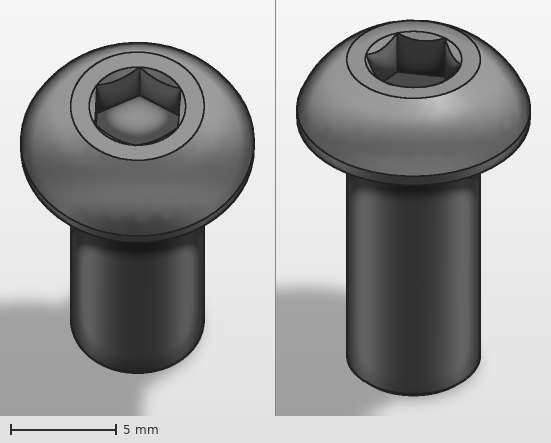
import cadquery as cq
import math

total_length = 17.64
head_diameter = 11.1
head_height = 3.39
rim_height = 0.53
crown_flat_diameter = 6.35
crown_bulge = 0.32
shank_diameter = 6.35
tip_chamfer = 0.37

socket_flats = 3.97
socket_corners = socket_flats / math.cos(math.radians(30))
socket_depth = 2.28
socket_lead_in_angle = 45.0

head_radius = head_diameter / 2
shank_radius = shank_diameter / 2
crown_flat_radius = crown_flat_diameter / 2
head_bottom = total_length - head_height
rim_top = head_bottom + rim_height


def screw_body():
    """Revolve the shank, rim and domed crown about Z."""
    run = head_radius - crown_flat_radius
    rise = total_length - rim_top
    chord = math.hypot(run, rise)
    crown_middle = (
        (head_radius + crown_flat_radius) / 2 + crown_bulge * rise / chord,
        (total_length + rim_top) / 2 + crown_bulge * run / chord,
    )
    return (
        cq.Workplane("XZ")
        .moveTo(0, 0)
        .lineTo(shank_radius - tip_chamfer, 0)
        .lineTo(shank_radius, tip_chamfer)
        .lineTo(shank_radius, head_bottom)
        .lineTo(head_radius, head_bottom)
        .lineTo(head_radius, rim_top)
        .threePointArc(crown_middle, (crown_flat_radius, total_length))
        .lineTo(0, total_length)
        .close()
        .revolve(360, (0, 0, 0), (0, 1, 0))
    )


def hex_socket():
    """Hexagonal recess sunk from the crown flat."""
    return (
        cq.Workplane("XY", origin=(0, 0, total_length))
        .polygon(6, socket_corners)
        .extrude(-socket_depth)
        .rotate((0, 0, 0), (0, 0, 1), 30)
    )


def socket_lead_in():
    """Cone that relieves the top edges of the socket flats."""
    mouth_radius = socket_corners / 2
    inner_radius = socket_flats / 2
    cone_depth = (mouth_radius - inner_radius) * math.tan(math.radians(socket_lead_in_angle))
    return cq.Workplane("XY").add(
        cq.Solid.makeCone(
            mouth_radius,
            inner_radius,
            cone_depth,
            cq.Vector(0, 0, total_length),
            cq.Vector(0, 0, -1),
        )
    )


result = screw_body().cut(hex_socket()).cut(socket_lead_in())